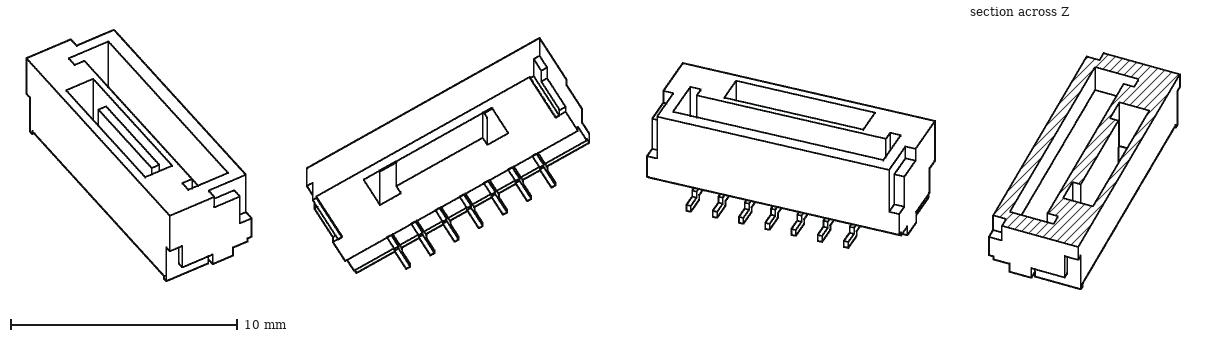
import cadquery as cq


length = 12.0
depth = 4.26
top = 4.2
standoff = 0.17

back_wall = 0.61
slot_length = 10.01
slot_width = 1.56
key_length = 0.5
key_width = 0.5
slot_floor = 1.44

window_length = 6.61
window_front = 0.4
window_width = 1.4
rib_length = 4.45
rib_width = 0.4
rib_drop = 0.8

relief_x = 0.48
relief_reach_y = 1.95
relief_arm_z = 0.64
relief_reach_z = 2.25

plate_inset = 0.3
plate_thickness = 0.19
plate_length = 2.2
plate_foot = 0.75
plate_upright = 0.65
plate_top = 2.05
plate_gap = 0.04

step_depth = 0.97
step_height = 0.65
notch_depth = 0.22
notch_height = 0.83

lead_count = 7
lead_pitch = 1.25
lead_width = 0.22
lead_reach = 0.68
lead_foot_height = 0.32
lead_foot_end = 0.32
lead_arm_bottom = 0.25


def block(x_range, y_range, z_range):
    """Box spanning the given (low, high) range on each axis."""
    lows, highs = zip(x_range, y_range, z_range)
    sizes = [high - low for low, high in zip(lows, highs)]
    return cq.Workplane("XY").box(*sizes, centered=False).translate(lows)


def centred_block(x_size, y_range, z_range):
    """Box centred on the X mid-plane."""
    return block((-x_size / 2, x_size / 2), y_range, z_range)


def side_profile(points, x_start, thickness):
    """Outline of (Y, Z) points extruded toward +X from x_start."""
    return cq.Workplane("YZ").workplane(offset=x_start).polyline(points).close().extrude(thickness)


def mirrored_pair(solid):
    """The solid together with its mirror image across the X mid-plane."""
    return solid.union(solid.mirror("YZ"))


def housing():
    """Outer block with a stepped underside along its rear edge."""
    outline = [
        (0, standoff),
        (depth - step_depth, standoff),
        (depth - step_depth, step_height),
        (depth - notch_depth, step_height),
        (depth - notch_depth, notch_height),
        (depth, notch_height),
        (depth, top),
        (0, top),
    ]
    return side_profile(outline, -length / 2, length)


def mating_slot():
    slot_back = depth - back_wall
    slot_front = slot_back - slot_width
    heights = (slot_floor, top)
    slot = centred_block(slot_length, (slot_front, slot_back), heights)
    slot_end = -slot_length / 2
    key = block((slot_end, slot_end + key_length), (slot_front - key_width, slot_front), heights)
    return slot.union(mirrored_pair(key))


def latch_window():
    window_back = window_front + window_width
    window = centred_block(window_length, (window_front, window_back), (standoff, top))
    rib = centred_block(rib_length, (window_back - rib_width, window_back), (standoff, top - rib_drop))
    return window.cut(rib)


def rear_reliefs():
    outline = [
        (depth, top),
        (depth - relief_reach_y, top),
        (depth - relief_reach_y, top - relief_arm_z),
        (depth - back_wall, top - relief_arm_z),
        (depth - back_wall, top - relief_reach_z),
        (depth, top - relief_reach_z),
    ]
    return mirrored_pair(side_profile(outline, -length / 2, relief_x))


def plate_outline(foot_length):
    """L with a long foot on the mounting plane and an upright at the front."""
    return [
        (0, 0),
        (foot_length, 0),
        (foot_length, plate_foot),
        (plate_upright, plate_foot),
        (plate_upright, plate_top),
        (0, plate_top),
    ]


def plate_recesses():
    outline = plate_outline(plate_length + plate_gap)
    return mirrored_pair(side_profile(outline, -length / 2, plate_inset + plate_thickness))


def hold_down_plates():
    outline = plate_outline(plate_length)
    return mirrored_pair(side_profile(outline, -length / 2 + plate_inset, plate_thickness))


def lead(x_centre):
    """Lead with an arm under the stepped housing and a foot reaching out behind it."""
    outline = [
        (depth - step_depth, lead_arm_bottom),
        (depth - step_depth, step_height),
        (depth, step_height),
        (depth, lead_foot_height),
        (depth + lead_reach, lead_foot_height),
        (depth + lead_reach, 0),
        (depth - lead_foot_end, 0),
        (depth - lead_foot_end, lead_arm_bottom),
    ]
    return side_profile(outline, x_centre - lead_width / 2, lead_width)


result = housing()
for opening in (mating_slot(), latch_window(), rear_reliefs(), plate_recesses()):
    result = result.cut(opening)
result = result.union(hold_down_plates())
for index in range(lead_count):
    result = result.union(lead((index - (lead_count - 1) / 2) * lead_pitch))